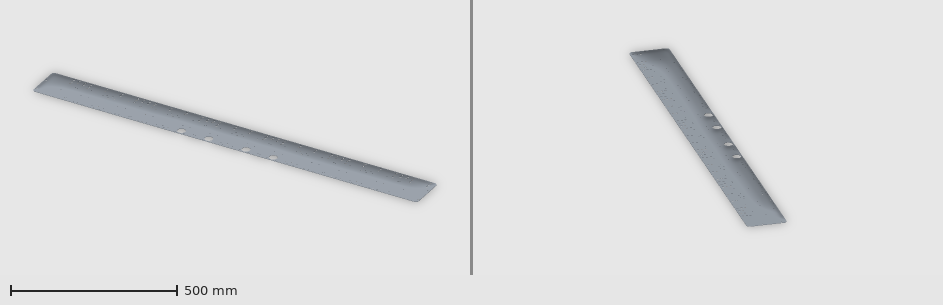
import cadquery as cq

length = 1336
width = 125.0
thickness = 1.5
corner_radius = 10.0

lamp_count = 5
three_pitch_span = 672.0
pitch = three_pitch_span / 3
joint_count = lamp_count + 1

terminal_diameter = 6.0
terminal_edge_margin = 8.4
terminal_top_y = width / 2 - terminal_edge_margin
terminal_row_pitch = 11.9
column_spacing = 20.0
lamp_column_x = 27.0
end_column_margin = 20.0
end_column_x = length / 2 - end_column_margin

upper_outer_y = 25.0
lower_outer_margin = 4.7
lower_outer_y = -width / 2 + lower_outer_margin
mirror_y = (upper_outer_y + lower_outer_y) / 2
outer_band = (upper_outer_y - lower_outer_y) / 2
middle_band = 33.0
inner_band = 30.0

lamp_inner_x = column_spacing / 2
lamp_middle_x = column_spacing
lamp_pin_diameter = 3.5
lamp_center_diameter = 4.5

group_gap = 95.0
group_x = (pitch - group_gap) / 2
group_diameter = 3.9
group_side_offset = 15.0
mirror_line_offset = 12.7
mirror_line_diameter = 3.5

joint_pair_x = 3.1
joint_pin_diameter = 3.5

end_hole_margin = 5.0
end_hole_x = length / 2 - end_hole_margin
end_hole_diameter = 5.5

cable_diameter = 27.0
cable_edge_margin = 3.6
cable_y = -width / 2 + cable_edge_margin + cable_diameter / 2


def mirrored_x(center, *offsets):
    """X positions at each offset on both sides of a centre."""
    return [center + side * offset for offset in offsets for side in (-1, 1)]


def grid(xs, ys):
    """Every combination of the given X and Y positions."""
    return [(x, y) for x in xs for y in ys]


def band_ys(distance):
    """Upper and lower Y of a band mirrored about the mirror line."""
    return [mirror_y + distance, mirror_y - distance]


def terminal_ys(rows):
    """Y of the given number of terminal rows, counted from the +Y edge."""
    return [terminal_top_y - row * terminal_row_pitch for row in range(rows)]


lamp_xs = [(i - (lamp_count - 1) / 2) * pitch for i in range(lamp_count)]
joint_xs = [(i - (joint_count - 1) / 2) * pitch for i in range(joint_count)]
group_xs = [x for lamp in lamp_xs for x in mirrored_x(lamp, group_x)]

cable_xs = [x for x in group_xs if abs(x) < pitch]


def terminal_points():
    points = grid([end_column_x], terminal_ys(3))
    for joint in joint_xs:
        points += grid(mirrored_x(joint, column_spacing / 2), terminal_ys(2))
        points += grid(mirrored_x(joint, column_spacing * 3 / 2), terminal_ys(3))
    for lamp in lamp_xs:
        points += grid(mirrored_x(lamp, lamp_column_x), terminal_ys(2))
    return points


def lamp_pin_points():
    points = []
    for lamp in lamp_xs:
        points += grid(mirrored_x(lamp, lamp_inner_x), band_ys(outer_band))
        points += grid(mirrored_x(lamp, lamp_middle_x), band_ys(middle_band))
    return points


def joint_pin_points():
    xs = [x for joint in joint_xs for x in mirrored_x(joint, joint_pair_x)]
    return grid(xs, band_ys(middle_band))


def group_points():
    upper_y, lower_y = band_ys(outer_band)
    points = grid(group_xs, [upper_y])
    points += [(x, lower_y) for x in group_xs if x not in cable_xs]
    for x in group_xs:
        points += grid(mirrored_x(x, group_side_offset), [lower_y])
    return points


def mirror_line_points():
    xs = [x for group in group_xs for x in mirrored_x(group, mirror_line_offset)]
    next_lamp_x = (lamp_count + 1) / 2 * pitch
    xs += mirrored_x(0, next_lamp_x - group_x - mirror_line_offset)
    return grid(xs, [mirror_y])


def drill(board, points, diameter):
    """Cut round through holes at the given points."""
    cutters = cq.Workplane("XY").pushPoints(points).circle(diameter / 2).extrude(thickness)
    return board.cut(cutters)


board = cq.Workplane("XY").rect(length, width).extrude(thickness)
board = board.edges("|Z").fillet(corner_radius)
board = drill(board, terminal_points(), terminal_diameter)
board = drill(board, lamp_pin_points(), lamp_pin_diameter)
board = drill(board, grid(lamp_xs, band_ys(inner_band)), lamp_center_diameter)
board = drill(board, joint_pin_points(), joint_pin_diameter)
board = drill(board, group_points(), group_diameter)
board = drill(board, mirror_line_points(), mirror_line_diameter)
board = drill(board, grid(mirrored_x(0, end_hole_x), band_ys(inner_band)), end_hole_diameter)
board = drill(board, grid(cable_xs, [cable_y]), cable_diameter)

result = board